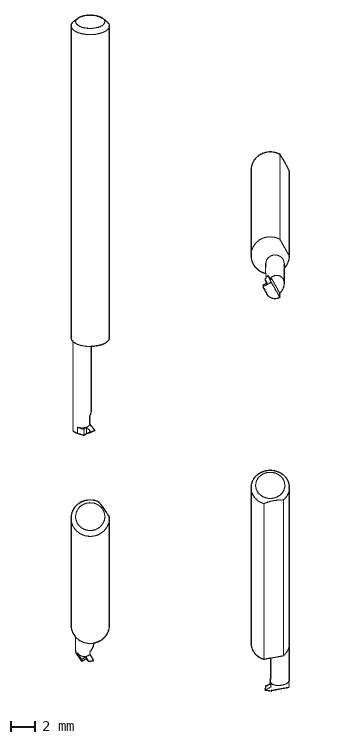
import cadquery as cq

total_length = 38.1
shank_diameter = 3.15
shank_radius = shank_diameter / 2
shank_depth = 2.95
flat_y = shank_depth - shank_radius
shank_bottom = 8.88
end_chamfer = 0.4

neck_radius = 0.75
neck_x = -shank_radius + neck_radius
neck_bottom = 0.1
rake_y = 0.05
relief_top = 1.55

block_right = -0.1
block_left = -0.75
block_top = 0.7
tip_x = 0.45
tip_height = 0.42
tip_root_top = 0.88
front_tip_x = 0.3
tip_depth = 0.4


def make_shank():
    shank = (
        cq.Workplane("XY", origin=(0, 0, shank_bottom))
        .circle(shank_radius)
        .extrude(total_length - shank_bottom)
        .faces(">Z")
        .chamfer(end_chamfer)
    )
    beyond_flat = cq.Workplane("XY").box(
        shank_diameter, shank_diameter, total_length, centered=(True, False, False)
    ).translate((0, flat_y, 0))
    return shank.cut(beyond_flat)


def make_neck():
    overlap = end_chamfer
    neck = (
        cq.Workplane("XY", origin=(neck_x, 0, neck_bottom))
        .circle(neck_radius)
        .extrude(shank_bottom + overlap - neck_bottom)
    )
    relief_depth = shank_radius
    relief = (
        cq.Workplane("YZ")
        .polyline([
            (rake_y, 0),
            (rake_y, relief_top),
            (rake_y + relief_depth, relief_top + relief_depth),
            (rake_y + relief_depth, 0),
        ])
        .close()
        .extrude(shank_radius, both=True)
        .translate((neck_x, 0, 0))
    )
    return neck.cut(relief)


def make_tooth():
    block_depth = rake_y + neck_radius
    rake_plane = cq.Workplane("XZ", origin=(0, rake_y, 0))
    block = (
        rake_plane
        .polyline([
            (block_left, neck_bottom),
            (block_right, neck_bottom),
            (block_right, block_top),
            (block_left, block_top),
        ])
        .close()
        .extrude(block_depth)
    )
    tip = (
        rake_plane
        .polyline([(block_right, 0), (tip_x, tip_height), (block_right, tip_root_top)])
        .close()
        .workplane(offset=tip_depth)
        .polyline([(block_right, neck_bottom), (front_tip_x, tip_height), (block_right, block_top)])
        .close()
        .loft(ruled=True)
    )
    return block.union(tip)


result = make_shank().union(make_neck()).union(make_tooth())